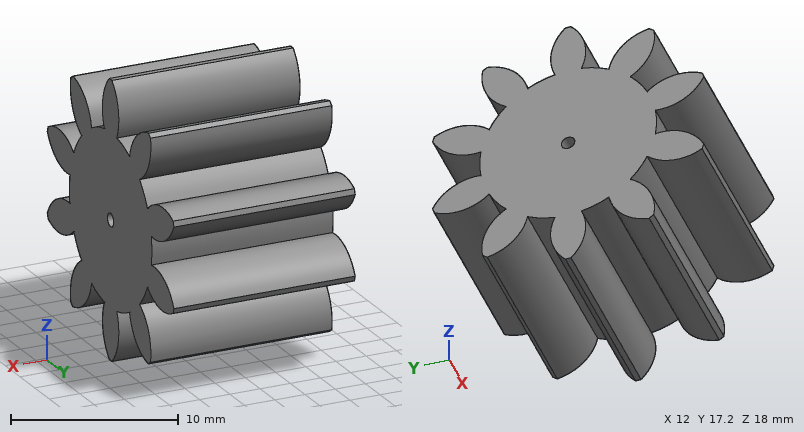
import cadquery as cq

face_width = 12.0
tooth_count = 10
tip_radius = 9.0
body_radius = 5.62
bore_diameter = 0.85

tip_half_width = 0.18
belly_half_width = 1.12
belly_radius = 6.75
root_half_width = 0.85

tooth_base_radius = body_radius / 2
root_height = (body_radius**2 - root_half_width**2) ** 0.5


def make_tooth():
    """One leaf-shaped tooth with arc flanks and a narrow flat tip."""
    return (
        cq.Workplane("YZ")
        .moveTo(-root_half_width, tooth_base_radius)
        .lineTo(-root_half_width, root_height)
        .threePointArc((-belly_half_width, belly_radius), (-tip_half_width, tip_radius))
        .lineTo(tip_half_width, tip_radius)
        .threePointArc((belly_half_width, belly_radius), (root_half_width, root_height))
        .lineTo(root_half_width, tooth_base_radius)
        .close()
        .extrude(face_width / 2, both=True)
    )


def make_pinion():
    """Round body with evenly spaced teeth and a through bore."""
    pinion = cq.Workplane("YZ").circle(body_radius).extrude(face_width / 2, both=True)
    tooth = make_tooth()
    for index in range(tooth_count):
        angle = index * 360 / tooth_count
        pinion = pinion.union(tooth.rotate((0, 0, 0), (1, 0, 0), angle))
    bore = cq.Workplane("YZ").circle(bore_diameter / 2).extrude(face_width, both=True)
    return pinion.cut(bore)


result = make_pinion()